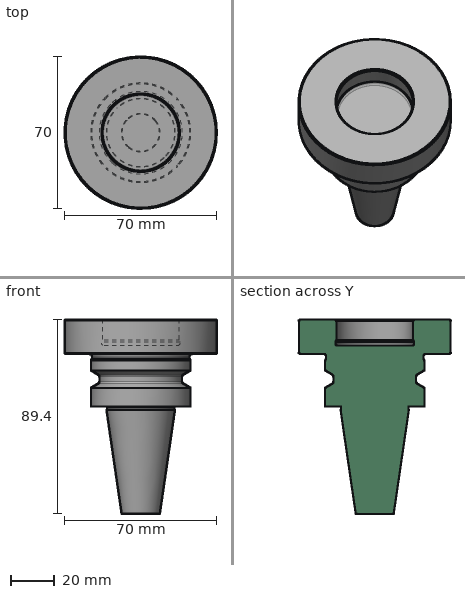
import cadquery as cq
import math

total_length = 89.4

head_radius = 70.0 / 2
head_height = 16.0
head_chamfer = 0.5

flange_radius = 23.0
flange_start = 18.95
flange_end = 40.05
groove_depth = 27.45
groove_width = 8.0
groove_radius = 19.0
groove_flank_angle = 30.0
groove_fillet = 1.0

relief_step = 0.5
relief_angle = 30.0
relief_length = relief_step / math.tan(math.radians(relief_angle))
relief_fillet = 1.0

taper_ratio = 7 / 24
gauge_radius = 31.7 / 2
gauge_depth = 41.0
shank_start = 41.6
shank_chamfer = 0.3
collar_step = 0.2

bore_radius = 17.5
bore_depth = 12.0
bore_wall_length = 9.5


def shank_radius(depth):
    """Radius of the taper at a depth below the top face."""
    return gauge_radius - (depth - gauge_depth) * taper_ratio / 2


def level(depth):
    """Height of a point that lies the given depth below the top face."""
    return total_length - depth


def revolve(points):
    """Turn a closed outline of (radius, depth) points about the Z axis."""
    outline = [(radius, level(depth)) for radius, depth in points]
    return cq.Workplane("XZ").polyline(outline).close().revolve(360, (0, 0), (0, 1))


def fillet_circles(body, radius, depth, fillet):
    """Round the circular edge of the given radius at the given depth."""
    near = 0.01
    corner = cq.selectors.BoxSelector(
        (-radius - near, -radius - near, level(depth) - near),
        (radius + near, radius + near, level(depth) + near),
        boundingbox=True,
    )
    circles = body.edges("%CIRCLE").edges(corner)
    matching = [edge for edge in circles.vals() if abs(edge.radius() - radius) < near]
    return body.newObject(matching).fillet(fillet)


def make_head_and_flange():
    neck_radius = flange_radius - relief_step
    flank_height = (flange_radius - groove_radius) * math.tan(math.radians(groove_flank_angle))
    groove_top = groove_depth - groove_width / 2
    groove_bottom = groove_depth + groove_width / 2
    groove_corners = (groove_top + flank_height, groove_bottom - flank_height)

    body = revolve([
        (0, 0),
        (head_radius - head_chamfer, 0),
        (head_radius, head_chamfer),
        (head_radius, head_height - head_chamfer),
        (head_radius - head_chamfer, head_height),
        (neck_radius, head_height),
        (neck_radius, flange_start - relief_length),
        (flange_radius, flange_start),
        (flange_radius, groove_top),
        (groove_radius, groove_corners[0]),
        (groove_radius, groove_corners[1]),
        (flange_radius, groove_bottom),
        (flange_radius, flange_end),
        (0, flange_end),
    ])
    body = fillet_circles(body, neck_radius, head_height, relief_fillet)
    for corner in groove_corners:
        body = fillet_circles(body, groove_radius, corner, groove_fillet)
    return body


def make_shank():
    top_radius = shank_radius(shank_start)
    collar_radius = top_radius - collar_step
    end_radius = shank_radius(total_length)
    chamfer_start = total_length - shank_chamfer
    return revolve([
        (0, flange_end),
        (top_radius, flange_end),
        (collar_radius, flange_end + collar_step),
        (collar_radius, shank_start - collar_step),
        (top_radius, shank_start),
        (shank_radius(chamfer_start), chamfer_start),
        (end_radius - shank_chamfer, total_length),
        (0, total_length),
    ])


def make_bore():
    relief_radius = bore_radius + relief_step
    bore = revolve([
        (0, 0),
        (relief_radius, 0),
        (bore_radius, relief_length),
        (bore_radius, bore_wall_length),
        (relief_radius, bore_wall_length + relief_length),
        (relief_radius, bore_depth),
        (0, bore_depth),
    ])
    return fillet_circles(bore, relief_radius, bore_depth, relief_fillet)


result = make_head_and_flange().union(make_shank()).cut(make_bore())